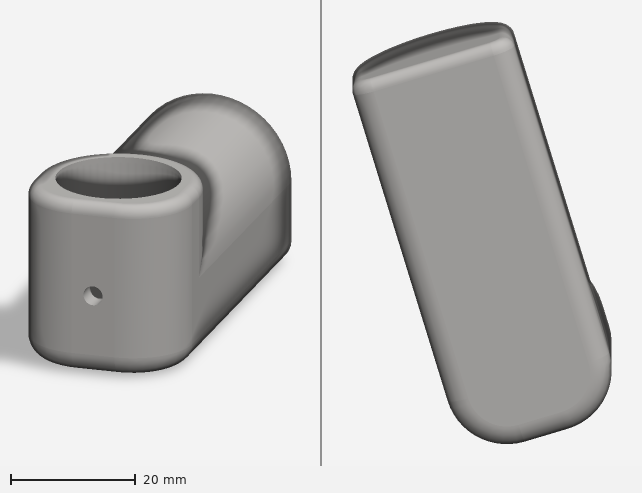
import cadquery as cq

width = 27.0
length = 64.0
height = 29.0

half_width = width / 2
front_y = -half_width
back_y = front_y + length

corner_radius = 9.9
bottom_fillet = 3.45
edge_fillet = 1.9

bore_diameter = 20.2
bore_floor = 3.45
pin_diameter = 3.2
pin_height = half_width


def make_arm():
    """Arm with straight sides, flat underside and a half-round top."""
    return (
        cq.Workplane("XZ")
        .moveTo(-half_width, 0)
        .lineTo(half_width, 0)
        .lineTo(half_width, half_width)
        .threePointArc((0, width), (-half_width, half_width))
        .close()
        .extrude(-back_y)
    )


def make_post():
    """Upright post: round at the back, a square with rounded corners at the front."""
    round_back = cq.Workplane("XY").circle(half_width).extrude(height)
    front_half = (
        cq.Workplane("XY", origin=(0, front_y, 0))
        .box(width, half_width, height, centered=(True, False, False))
    )
    square_front = (
        cq.Workplane("XY")
        .rect(width, width)
        .extrude(height)
        .edges("|Z and <Y")
        .fillet(corner_radius)
        .intersect(front_half)
    )
    return round_back.union(square_front)


def make_bore():
    """Blind round socket, open at the top of the post."""
    return cq.Workplane("XY").workplane(offset=bore_floor).circle(bore_diameter / 2).extrude(height)


def make_pin_hole():
    """Small hole through the front wall into the bore."""
    return (
        cq.Workplane("XZ", origin=(0, 0, pin_height))
        .circle(pin_diameter / 2)
        .extrude(half_width)
    )


body = make_arm().union(make_post())
body = body.faces("<Z").edges("not(>Y)").fillet(bottom_fillet)
body = body.faces(">Y").edges().fillet(edge_fillet)
body = body.faces(">Z").edges().fillet(edge_fillet)
result = body.cut(make_bore()).cut(make_pin_hole())